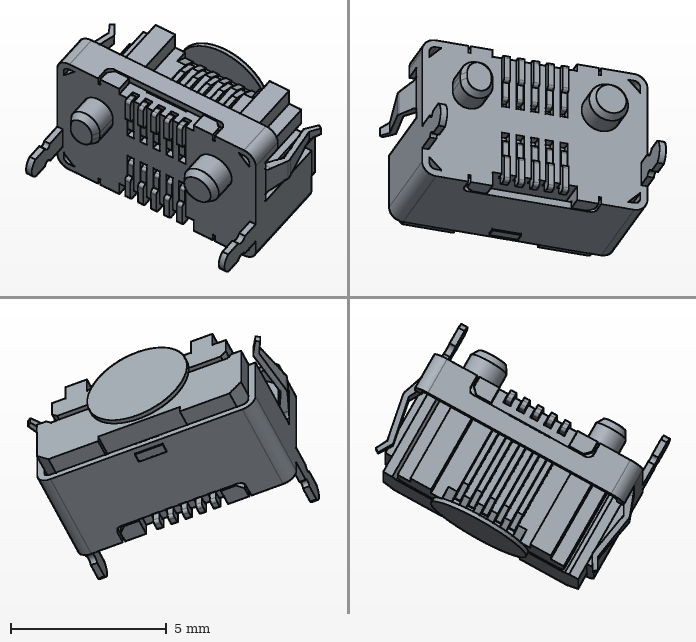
import cadquery as cq
import math


half_width = 3.835
half_height = 2.49
wall = 0.25
corner_radius = 0.465
shell_depth = 3.22
band_depth = 1.27
side_window_front = 0.565
side_window_top = 1.685
side_window_bottom = -0.15
inner_half_width = half_width - wall
inner_half_height = half_height - wall
flange_depth = 0.85
body_chamfer = 0.41
body_back = 3.8

window_half_width = 2.26
window_depth = 0.615
window_radius = 0.2
pad_inner_x = 1.44
pad_outer_x = 2.175
pad_depth = 0.565
pad_chamfer = 0.21
groove_half_width = 0.755
groove_width = 0.03
groove_depth = 0.17

post_inner_x = 1.83
post_outer_x = 2.58
block_half_width = 3.055
post_top = 1.41
block_top = 0.8
block_bottom = -0.02
block_bevel = 0.18
lead_in_length = 0.46
lead_in_depth = 0.26

rail_top = -0.1
rail_inner_x = 3.25
channel_bevel = 0.16
floor_notch_height = 0.25

contacts_per_row = 5
pitch = 0.5
contact_width = 0.21
contact_slot_width = 0.26
front_slot_depth = 0.315
slot_inner_z = 0.48
contact_thickness = 0.15
contact_protrusion = 0.17
upright_front = -0.01
upright_back = 0.215
foot_outer_z = 2.3
foot_inner_z = 1.35
foot_radius = 0.12
bend_radius = 0.1
beam_inner_z = 0.74
beam_outer_z = beam_inner_z + contact_thickness
lower_beam_rise = 0.08
beam_bend_y = 3.0
beam_end_y = 3.54
beam_end_drop = 0.2

round_peg_x = 2.25
oval_peg_x = -2.24
peg_z = 0.85
peg_diameter = 1.32
oval_peg_width = 1.1
peg_length = 1.0
peg_tip_length = 0.25
peg_tip_inset = 0.15

tail_length = 1.8
tail_shoulder = 1.585
tail_half_height = 0.41
tail_z = -1.145
tail_thickness = 0.22
tail_notch_depth = 0.125
left_notch_start = 0.755
left_notch_end = 1.02
right_notch_start = 0.615
right_notch_end = 1.005

spring_crest_x = 4.15
spring_crest_y = 1.47
spring_crest_sagitta = 0.01
spring_crest_half_length = 0.07
spring_crest_inner_x = 3.95
spring_dip_outer_x = 3.88
spring_dip_inner_x = 3.66
spring_dip_y = 3.02
spring_tip_outer_x = 4.08
spring_tip_outer_y = 3.395
spring_tip_inner_x = 3.95
spring_z = 0.76
spring_root_half_height = 0.6
spring_root_end = 0.79
spring_base_half_height = 0.5
spring_tip_half_height = 0.125
spring_tip_y = 3.49

disc_diameter = 3.5
disc_thickness = 0.15
disc_z = -0.075
lug_half_width = 0.49
lug_front = 2.71
lug_back = 3.03
lug_protrusion = 0.05


def box(x0, x1, y0, y1, z0, z1):
    """Box between two corners."""
    return cq.Workplane("XY").box(x1 - x0, y1 - y0, z1 - z0, centered=False).translate((x0, y0, z0))


def prism_y(points, y0, y1):
    """Closed XZ outline extruded from y0 to y1."""
    return cq.Workplane("XZ", origin=(0, y0, 0)).polyline(points).close().extrude(y0 - y1)


def mirrored_x(shape):
    """Shape joined with its copy on the other side of X = 0."""
    return shape.union(shape.mirror("YZ"))


def mirrored_z(shape):
    """Shape joined with its copy on the other side of Z = 0."""
    return shape.union(shape.mirror("XY"))


def make_shell():
    def tube_block(half_x, half_z, radius):
        block = box(-half_x, half_x, 0, shell_depth, -half_z, half_z)
        return block.edges("|Y").fillet(radius)

    shell = tube_block(half_width, half_height, corner_radius)
    shell = shell.cut(tube_block(inner_half_width, inner_half_height, corner_radius - wall))
    shell = shell.cut(box(-half_width, half_width, band_depth, shell_depth, side_window_bottom, half_height))
    shell = shell.cut(
        box(-half_width, half_width, side_window_front, band_depth, side_window_bottom, side_window_top)
    )
    window = box(-window_half_width, window_half_width, 0, window_depth, inner_half_height, half_height)
    return shell.cut(mirrored_z(window.edges("|Z and >Y").fillet(window_radius)))


def make_flange():
    flange = box(
        -inner_half_width, inner_half_width, 0, flange_depth, -inner_half_height, inner_half_height
    )
    flange = flange.edges("|Y").chamfer(body_chamfer)
    pad = box(pad_inner_x, pad_outer_x, 0, pad_depth, inner_half_height, half_height)
    pad = pad.edges("|Z and >Y and >X").chamfer(pad_chamfer)
    flange = flange.union(mirrored_x(mirrored_z(pad)))
    groove = box(
        -groove_half_width, groove_half_width, pad_depth, pad_depth + groove_width,
        inner_half_height - groove_depth, inner_half_height,
    )
    return flange.cut(groove)


def make_upper_block():
    half_outline = [
        (post_inner_x, block_top),
        (post_inner_x, post_top),
        (post_outer_x, post_top),
        (post_outer_x, block_top),
        (block_half_width, block_top),
        (block_half_width, block_bottom + block_bevel),
        (block_half_width - block_bevel, block_bottom),
    ]
    other_half = [(-x, z) for x, z in reversed(half_outline)]
    block = prism_y(half_outline + other_half, flange_depth, body_back)
    lead_in = (
        cq.Workplane("YZ", origin=(-pad_inner_x, 0, 0))
        .polyline([
            (body_back - lead_in_length, block_top),
            (body_back, block_top),
            (body_back, block_top - lead_in_depth),
        ])
        .close()
        .extrude(2 * pad_inner_x)
    )
    return block.cut(lead_in)


def make_lower_block():
    half_outline = [
        (rail_inner_x - channel_bevel, rail_top - channel_bevel),
        (rail_inner_x, rail_top),
        (inner_half_width, rail_top),
        (inner_half_width, -inner_half_height + body_chamfer),
        (inner_half_width - body_chamfer, -inner_half_height),
    ]
    other_half = [(-x, z) for x, z in reversed(half_outline)]
    return prism_y(half_outline + other_half, flange_depth, body_back)


def floor_notch():
    """Passage under the body, between it and the shell floor."""
    return box(
        -pad_inner_x, pad_inner_x, 0, body_back, -inner_half_height, -inner_half_height + floor_notch_height
    )


def contact_positions():
    return [(i - (contacts_per_row - 1) / 2) * pitch for i in range(contacts_per_row)]


def contact_slots(x):
    """Front slots of both rows and the slot along the top of the upper block."""
    x0 = x - contact_slot_width / 2
    x1 = x + contact_slot_width / 2
    front = box(x0, x1, 0, front_slot_depth, slot_inner_z, inner_half_height)
    top = box(x0, x1, flange_depth, body_back, slot_inner_z, block_top)
    return mirrored_z(front).union(top)


def contact_base(x, beam_rise):
    """Upper-row solder foot and upright, with a stub of beam anchored in the flange.

    The stub's inner face nears the middle of the connector by beam_rise on its way to the flange.
    """
    return (
        cq.Workplane("YZ", origin=(x - contact_width / 2, 0, 0))
        .moveTo(flange_depth, beam_inner_z - beam_rise)
        .lineTo(front_slot_depth, beam_inner_z - beam_rise)
        .lineTo(upright_front + bend_radius, beam_inner_z)
        .radiusArc((upright_front, beam_inner_z + bend_radius), bend_radius)
        .lineTo(upright_front, foot_inner_z)
        .lineTo(foot_radius - contact_protrusion, foot_inner_z)
        .radiusArc((-contact_protrusion, foot_inner_z + foot_radius), foot_radius)
        .lineTo(-contact_protrusion, foot_outer_z - foot_radius)
        .radiusArc((foot_radius - contact_protrusion, foot_outer_z), foot_radius)
        .lineTo(upright_back - foot_radius, foot_outer_z)
        .radiusArc((upright_back, foot_outer_z - foot_radius), foot_radius)
        .lineTo(upright_back, beam_outer_z)
        .lineTo(flange_depth, beam_outer_z)
        .close()
        .extrude(contact_width)
    )


def contact_beam(x):
    """Beam along the top of the upper block, bent down at its free end."""
    return (
        cq.Workplane("YZ", origin=(x - contact_width / 2, 0, 0))
        .polyline([
            (front_slot_depth, beam_inner_z),
            (front_slot_depth, beam_outer_z),
            (beam_bend_y, beam_outer_z),
            (beam_end_y, beam_outer_z - beam_end_drop),
            (beam_end_y, beam_inner_z - beam_end_drop),
            (beam_bend_y, beam_inner_z),
        ])
        .close()
        .extrude(contact_width)
    )


def make_pegs():
    shank_length = peg_length - peg_tip_length
    taper = math.degrees(math.atan(peg_tip_inset / peg_tip_length))

    def peg(x, draw_outline):
        shank = draw_outline(cq.Workplane("XZ", origin=(x, 0, peg_z))).extrude(shank_length)
        tip = draw_outline(cq.Workplane("XZ", origin=(x, -shank_length, peg_z)))
        return shank.union(tip.extrude(peg_tip_length, taper=taper))

    oval = peg(oval_peg_x, lambda plane: plane.slot2D(peg_diameter, oval_peg_width, 90))
    rounded = peg(round_peg_x, lambda plane: plane.circle(peg_diameter / 2))
    return oval.union(rounded)


def make_tail(x, notch_start, notch_end):
    """Solder tail that starts at x, necked between two distances from the board face."""
    bottom = tail_z - tail_half_height
    top = tail_z + tail_half_height
    notch_middle = (notch_start + notch_end) / 2
    return (
        cq.Workplane("YZ", origin=(x, 0, 0))
        .moveTo(0, bottom)
        .lineTo(-notch_start, bottom)
        .threePointArc((-notch_middle, bottom + tail_notch_depth), (-notch_end, bottom))
        .lineTo(-tail_shoulder, bottom)
        .threePointArc((-tail_length, tail_z), (-tail_shoulder, top))
        .lineTo(-notch_end, top)
        .threePointArc((-notch_middle, top - tail_notch_depth), (-notch_start, top))
        .lineTo(0, top)
        .close()
        .extrude(tail_thickness)
    )


def make_tails():
    left = make_tail(-half_width, left_notch_start, left_notch_end)
    right = make_tail(half_width - tail_thickness, right_notch_start, right_notch_end)
    return left.union(right)


def make_springs():
    """Bent strips off the side walls, bowed out to a crest, back in to a dip and tapered to the tip."""
    strip = (
        cq.Workplane("XY", origin=(0, 0, -half_height))
        .moveTo(half_width, side_window_front)
        .lineTo(spring_crest_x - spring_crest_sagitta, spring_crest_y - spring_crest_half_length)
        .threePointArc(
            (spring_crest_x, spring_crest_y),
            (spring_crest_x - spring_crest_sagitta, spring_crest_y + spring_crest_half_length),
        )
        .lineTo(spring_dip_outer_x, spring_dip_y)
        .lineTo(spring_tip_outer_x, spring_tip_outer_y)
        .lineTo(spring_tip_inner_x, spring_tip_y)
        .lineTo(spring_dip_inner_x, spring_dip_y)
        .lineTo(spring_crest_inner_x, spring_crest_y)
        .lineTo(inner_half_width, spring_root_end)
        .lineTo(inner_half_width, side_window_front)
        .close()
        .extrude(2 * half_height)
    )
    root_radius = spring_root_end - side_window_front
    taper = (
        cq.Workplane("YZ")
        .moveTo(side_window_front, spring_z - spring_root_half_height)
        .radiusArc((spring_root_end, spring_z - spring_base_half_height), root_radius)
        .lineTo(spring_tip_y, spring_z - spring_tip_half_height)
        .lineTo(spring_tip_y, spring_z + spring_tip_half_height)
        .lineTo(spring_root_end, spring_z + spring_base_half_height)
        .radiusArc((side_window_front, spring_z + spring_root_half_height), root_radius)
        .close()
        .extrude(2 * half_width)
    )
    return mirrored_x(strip.intersect(taper))


def make_lug():
    return box(
        -lug_half_width, lug_half_width, lug_front, lug_back,
        -half_height - lug_protrusion, -inner_half_height + floor_notch_height,
    )


def make_pickup_disc():
    return (
        cq.Workplane("XZ", origin=(0, body_back, disc_z)).circle(disc_diameter / 2).extrude(-disc_thickness)
    )


def make_connector():
    connector = make_flange().union(make_upper_block()).union(make_lower_block()).cut(floor_notch())
    for x in contact_positions():
        connector = connector.cut(contact_slots(x))
    connector = connector.union(make_shell()).union(make_pegs()).union(make_tails()).union(make_springs())
    for x in contact_positions():
        upper_contact = contact_base(x, 0).union(contact_beam(x))
        lower_contact = contact_base(x, lower_beam_rise).mirror("XY")
        connector = connector.union(upper_contact).union(lower_contact)
    return connector


lug = make_lug()
connector = make_connector().cut(lug)
pickup_disc = make_pickup_disc()

result = cq.Compound.makeCompound([connector.val(), pickup_disc.val(), lug.val()])